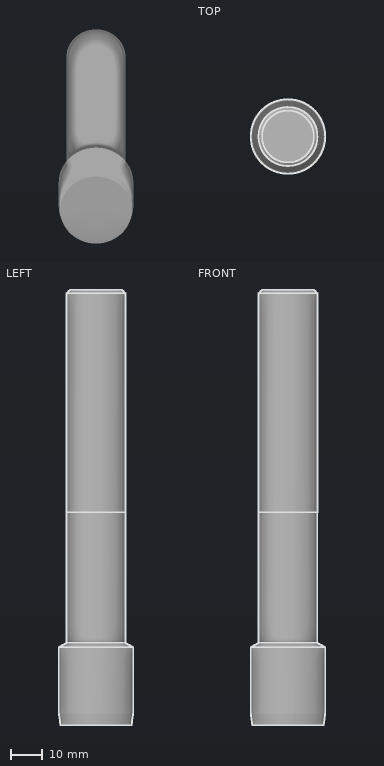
import cadquery as cq
import math

total_length = 140.0
guide_diameter = 19.0
shank_diameter = 18.98
shank_length = 68.5
tip_diameter = 16.7
tip_chamfer_height = 1.2

collar_diameter = 24.0
collar_length = 26.5
collar_chamfer_angle = 30.0
lead_in_height = 3.7
lead_in_angle = 7.5

guide_radius = guide_diameter / 2
shank_radius = shank_diameter / 2
tip_radius = tip_diameter / 2
collar_radius = collar_diameter / 2


def revolve_profile(points):
    """Revolve a closed (radius, height) profile fully around the Z axis."""
    return cq.Workplane("XZ").polyline(points).close().revolve(360, (0, 0, 0), (0, 1, 0))


def make_pillar():
    """Solid pillar: relieved shank, guide length and chamfered tip."""
    return revolve_profile([
        (0, 0),
        (shank_radius, 0),
        (shank_radius, shank_length),
        (guide_radius, shank_length),
        (guide_radius, total_length - tip_chamfer_height),
        (tip_radius, total_length),
        (0, total_length),
    ])


def make_collar():
    """Sleeve bored to the shank, with a sloped top and a tapered lead-in below."""
    wall = collar_radius - shank_radius
    chamfer_height = wall * math.tan(math.radians(collar_chamfer_angle))
    foot_radius = collar_radius - lead_in_height * math.tan(math.radians(lead_in_angle))
    return revolve_profile([
        (shank_radius, 0),
        (foot_radius, 0),
        (collar_radius, lead_in_height),
        (collar_radius, collar_length - chamfer_height),
        (shank_radius, collar_length),
    ])


pillar = make_pillar()
collar = make_collar()

result = cq.Compound.makeCompound([pillar.val(), collar.val()])